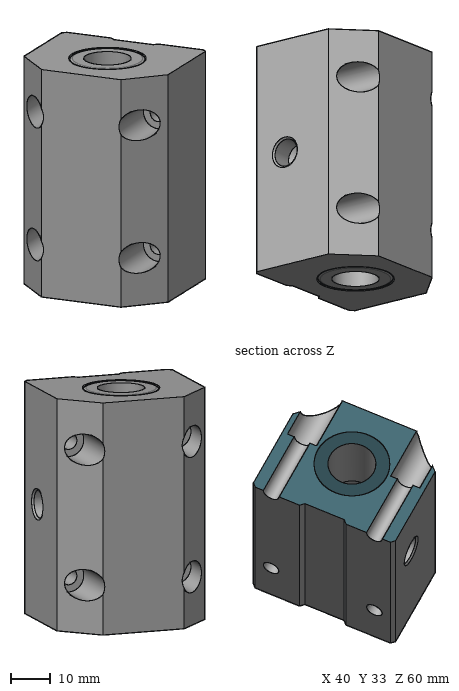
import cadquery as cq

WIDTH = 40.0
DEPTH = 33.0
HEIGHT = 60.0
FRONT_CHAMFER = 9.0
BACK_CHAMFER = 1.0

GROOVE_FLOOR_WIDTH = 11.0
GROOVE_DEPTH = 1.0

BUSHING_COUNT = 2
BUSHING_DIAMETER = 19.0
BUSHING_BORE = 12.0
BUSHING_CHAMFER_WIDTH = 0.6
BUSHING_CHAMFER_HEIGHT = 0.2
BUSHING_LENGTH = HEIGHT / BUSHING_COUNT
AXIS_TO_FRONT = 16.0
BORE_CHAMFER = 0.3

MOUNT_SPACING_X = 29.0
MOUNT_SPACING_Z = 35.0
MOUNT_HOLE_DIAMETER = 4.3
COUNTERBORE_DIAMETER = 8.05
COUNTERBORE_DEPTH = 15.0

PORT_TO_BACK = 10.0
PORT_DIAMETER = 7.1
PORT_MOUTH_DIAMETER = 8.05
PORT_DEPTH = 6.0
PORT_CONE_HEIGHT = 2.1

FRONT_Y = -AXIS_TO_FRONT
BACK_Y = FRONT_Y + DEPTH
HALF_WIDTH = WIDTH / 2


def make_block():
    """Extrude the chamfered outline, including the groove in its back face."""
    groove_half_floor = GROOVE_FLOOR_WIDTH / 2
    groove_half_mouth = groove_half_floor + GROOVE_DEPTH
    right_half = [
        (HALF_WIDTH - FRONT_CHAMFER, FRONT_Y),
        (HALF_WIDTH, FRONT_Y + FRONT_CHAMFER),
        (HALF_WIDTH, BACK_Y - BACK_CHAMFER),
        (HALF_WIDTH - BACK_CHAMFER, BACK_Y),
        (groove_half_mouth, BACK_Y),
        (groove_half_floor, BACK_Y - GROOVE_DEPTH),
    ]
    left_half = [(-x, y) for x, y in reversed(right_half)]
    return cq.Workplane("XY").polyline(right_half + left_half).close().extrude(HEIGHT)


def make_bushing_bore():
    """Cutter for the through bore and the small chamfers at both its ends."""
    radius = BUSHING_DIAMETER / 2
    mouth_radius = radius + BORE_CHAMFER
    profile = [
        (0, 0),
        (mouth_radius, 0),
        (radius, BORE_CHAMFER),
        (radius, HEIGHT - BORE_CHAMFER),
        (mouth_radius, HEIGHT),
        (0, HEIGHT),
    ]
    return cq.Workplane("XZ").polyline(profile).close().revolve(360, (0, 0), (0, 1))


def make_mounting_holes():
    """Cutter for the four through holes and their counterbores."""
    front_plane = cq.Workplane("XZ", origin=(0, FRONT_Y, HEIGHT / 2))
    centres = front_plane.rarray(MOUNT_SPACING_X, MOUNT_SPACING_Z, 2, 2)
    through_holes = centres.circle(MOUNT_HOLE_DIAMETER / 2).extrude(-DEPTH)
    counterbores = centres.circle(COUNTERBORE_DIAMETER / 2).extrude(-COUNTERBORE_DEPTH)
    return through_holes.union(counterbores)


def make_side_port():
    """Cutter for the blind port in the -X side, with a chamfered mouth."""
    radius = PORT_DIAMETER / 2
    mouth_radius = PORT_MOUTH_DIAMETER / 2
    mouth_chamfer = mouth_radius - radius
    profile = [
        (0, 0),
        (0, mouth_radius),
        (mouth_chamfer, radius),
        (PORT_DEPTH, radius),
        (PORT_DEPTH + PORT_CONE_HEIGHT, 0),
    ]
    port_origin = (-HALF_WIDTH, BACK_Y - PORT_TO_BACK, HEIGHT / 2)
    port_plane = cq.Workplane("XY", origin=port_origin)
    return port_plane.polyline(profile).close().revolve(360, (0, 0), (1, 0))


def make_housing():
    """Block with the bushing bore, mounting holes and side port cut out."""
    housing = make_block()
    housing = housing.cut(make_bushing_bore())
    housing = housing.cut(make_mounting_holes())
    return housing.cut(make_side_port())


def make_bushing(base_z):
    """Sleeve with a shallow chamfer on both outer rims."""
    radius = BUSHING_DIAMETER / 2
    end_radius = radius - BUSHING_CHAMFER_WIDTH
    bore_radius = BUSHING_BORE / 2
    top_z = base_z + BUSHING_LENGTH
    profile = [
        (bore_radius, base_z),
        (end_radius, base_z),
        (radius, base_z + BUSHING_CHAMFER_HEIGHT),
        (radius, top_z - BUSHING_CHAMFER_HEIGHT),
        (end_radius, top_z),
        (bore_radius, top_z),
    ]
    return cq.Workplane("XZ").polyline(profile).close().revolve(360, (0, 0), (0, 1))


housing = make_housing()
bushings = [make_bushing(index * BUSHING_LENGTH) for index in range(BUSHING_COUNT)]

result = cq.Compound.makeCompound([housing.val(), *[bushing.val() for bushing in bushings]])